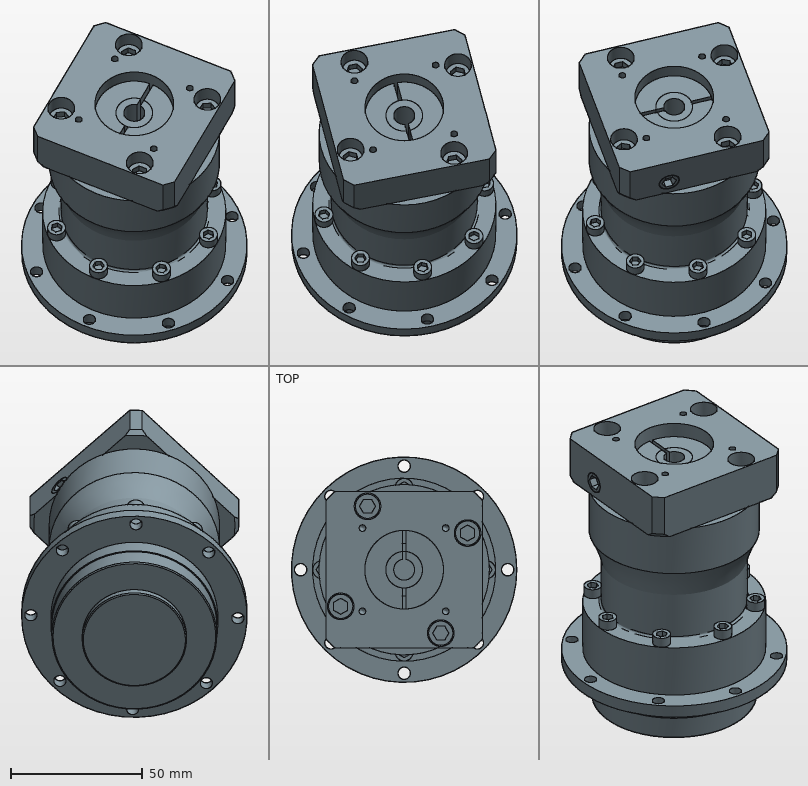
import cadquery as cq
import math

OVERALL_HEIGHT = 115.5
PILOT_BOTTOM_Z = 3.2
PILOT_STEP_Z = 12.4
FLANGE_BOTTOM_Z = 19.6
FLANGE_TOP_Z = 24.6
RING_GEAR_TOP_Z = 45.6
FLARE_BOTTOM_Z = 64.9
FLARE_TOP_Z = 77.3
HOUSING_TOP_Z = 97.3

OUTPUT_DIAMETER = 39.8
PILOT_DIAMETER = 63.0
PILOT_SHOULDER_DIAMETER = 63.8
FLANGE_DIAMETER = 86.0
RING_GEAR_DIAMETER = 69.9
NECK_DIAMETER = 55.8
INPUT_DIAMETER = 65.0
FLARE_ARC_RADIUS = 46.2
NECK_FOOT_FILLET = 0.8
EDGE_CHAMFER = 0.5

FASTENER_COUNT = 8
FLANGE_HOLE_DIAMETER = 4.6
FLANGE_HOLE_CIRCLE_RADIUS = 39.5
CAP_SCREW_DIAMETER = 6.8
CAP_SCREW_HEIGHT = 3.9
CAP_SCREW_CIRCLE_RADIUS = 31.4
CAP_SCREW_SOCKET_WIDTH = 3.7
CAP_SCREW_SOCKET_DEPTH = 2.3

PLATE_WIDTH = 59.7
PLATE_CORNER_CHAMFER = 3.3
PLATE_BORE_DIAMETER = 30.0
CORNER_CONE_HEIGHT = 2.0
CORNER_CONE_BOTTOM_RADIUS = 38.3
CORNER_CONE_TOP_RADIUS = math.hypot(PLATE_WIDTH / 2, PLATE_WIDTH / 2 - PLATE_CORNER_CHAMFER)
PLATE_HEIGHT = OVERALL_HEIGHT - HOUSING_TOP_Z

MOUNT_SCREW_COUNT = 4
MOUNT_SCREW_CIRCLE_RADIUS = 28.0
MOUNT_SCREW_START_ANGLE = 30.0
MOUNT_HOLE_DIAMETER = 10.2
MOUNT_HEAD_DIAMETER = 9.2
MOUNT_HEAD_TOP_DEPTH = 6.2
MOUNT_HEAD_HEIGHT = 6.0
MOUNT_SOCKET_WIDTH = 5.3
MOUNT_SOCKET_DEPTH = 3.0

MOTOR_HOLE_SPACING = 31.8
MOTOR_HOLE_DIAMETER = 2.5
MOTOR_HOLE_DEPTH = 9.2
DRILL_POINT_ANGLE = 118.0
DRILL_POINT_HEIGHT = MOTOR_HOLE_DIAMETER / 2 / math.tan(math.radians(DRILL_POINT_ANGLE / 2))

PLUG_Y = 11.0
PLUG_Z = 103.5
PLUG_DIAMETER = 7.6
PLUG_HOLE_DIAMETER = 8.1
PLUG_LENGTH = 4.6
PLUG_SOCKET_WIDTH = 5.0
PLUG_SOCKET_DEPTH = 3.0

HUB_TOP_Z = 109.6
HUB_STEM_DIAMETER = 20.0
HUB_STEM_BOTTOM_Z = 83.2
HUB_SLIT_BOTTOM_Z = 90.1
HUB_SOCKET_BOTTOM_Z = 86.6
SLIT_WIDTH = 1.4
BUSHING_DIAMETER = 14.0
BUSHING_BORE_DIAMETER = 8.0


def cylinder(diameter, bottom_z, top_z):
    """Solid cylinder on the gearbox axis."""
    return cq.Workplane("XY", origin=(0, 0, bottom_z)).circle(diameter / 2).extrude(top_z - bottom_z)


def hex_prism(workplane, width, depth):
    """Hexagonal prism of the given width across flats."""
    return workplane.polygon(6, width / math.cos(math.pi / 6)).extrude(depth)


def polar_points(radius, count, start_angle=0.0):
    """Points evenly spaced on a circle, each paired with its angle in degrees."""
    angles = [start_angle + i * 360 / count for i in range(count)]
    return [(radius * math.cos(math.radians(a)), radius * math.sin(math.radians(a)), a) for a in angles]


def housing_outline():
    """Half section of the gearbox, to be turned about the Z axis."""
    neck_radius = NECK_DIAMETER / 2
    return (
        cq.Workplane("XZ")
        .moveTo(0, 0)
        .lineTo(OUTPUT_DIAMETER / 2 - EDGE_CHAMFER, 0)
        .lineTo(OUTPUT_DIAMETER / 2, EDGE_CHAMFER)
        .lineTo(OUTPUT_DIAMETER / 2, PILOT_BOTTOM_Z)
        .lineTo(PILOT_DIAMETER / 2 - EDGE_CHAMFER, PILOT_BOTTOM_Z)
        .lineTo(PILOT_DIAMETER / 2, PILOT_BOTTOM_Z + EDGE_CHAMFER)
        .lineTo(PILOT_DIAMETER / 2, PILOT_STEP_Z)
        .lineTo(PILOT_SHOULDER_DIAMETER / 2, PILOT_STEP_Z)
        .lineTo(PILOT_SHOULDER_DIAMETER / 2, FLANGE_BOTTOM_Z)
        .lineTo(FLANGE_DIAMETER / 2, FLANGE_BOTTOM_Z)
        .lineTo(FLANGE_DIAMETER / 2, FLANGE_TOP_Z)
        .lineTo(RING_GEAR_DIAMETER / 2, FLANGE_TOP_Z)
        .lineTo(RING_GEAR_DIAMETER / 2, RING_GEAR_TOP_Z)
        .lineTo(neck_radius + NECK_FOOT_FILLET, RING_GEAR_TOP_Z)
        .radiusArc((neck_radius, RING_GEAR_TOP_Z + NECK_FOOT_FILLET), NECK_FOOT_FILLET)
        .lineTo(neck_radius, FLARE_BOTTOM_Z)
        .radiusArc((INPUT_DIAMETER / 2, FLARE_TOP_Z), FLARE_ARC_RADIUS)
        .lineTo(INPUT_DIAMETER / 2, HOUSING_TOP_Z)
        .lineTo(0, HOUSING_TOP_Z)
        .close()
    )


def cap_screw(x, y, angle):
    """Socket-head screw standing on the ring gear, its socket turned with its angle."""
    head_top_z = RING_GEAR_TOP_Z + CAP_SCREW_HEIGHT
    head = (
        cq.Workplane("XY", origin=(x, y, RING_GEAR_TOP_Z))
        .circle(CAP_SCREW_DIAMETER / 2)
        .extrude(CAP_SCREW_HEIGHT)
    )
    top_plane = cq.Workplane("XY", origin=(x, y, head_top_z)).transformed(rotate=(0, 0, angle))
    return head.cut(hex_prism(top_plane, CAP_SCREW_SOCKET_WIDTH, -CAP_SCREW_SOCKET_DEPTH))


def make_gearbox():
    """Turned housing with its flange holes, cap screws and recess for the hub stem."""
    gearbox = housing_outline().revolve(360, (0, 0), (0, 1))
    gearbox = gearbox.cut(cylinder(HUB_STEM_DIAMETER, HUB_STEM_BOTTOM_Z, HOUSING_TOP_Z))
    for x, y, _ in polar_points(FLANGE_HOLE_CIRCLE_RADIUS, FASTENER_COUNT):
        hole = (
            cq.Workplane("XY", origin=(x, y, FLANGE_BOTTOM_Z))
            .circle(FLANGE_HOLE_DIAMETER / 2)
            .extrude(FLANGE_TOP_Z - FLANGE_BOTTOM_Z)
        )
        gearbox = gearbox.cut(hole)
    for x, y, angle in polar_points(CAP_SCREW_CIRCLE_RADIUS, FASTENER_COUNT):
        gearbox = gearbox.union(cap_screw(x, y, angle))
    return gearbox


def plate_blank():
    """Square plate with chamfered corners, coned away at the foot of each corner."""
    block = (
        cq.Workplane("XY", origin=(0, 0, HOUSING_TOP_Z))
        .rect(PLATE_WIDTH, PLATE_WIDTH)
        .extrude(PLATE_HEIGHT)
        .edges("|Z")
        .chamfer(PLATE_CORNER_CHAMFER)
    )
    envelope = (
        cq.Workplane("XZ")
        .moveTo(0, HOUSING_TOP_Z)
        .lineTo(CORNER_CONE_BOTTOM_RADIUS, HOUSING_TOP_Z)
        .lineTo(CORNER_CONE_TOP_RADIUS, HOUSING_TOP_Z + CORNER_CONE_HEIGHT)
        .lineTo(PLATE_WIDTH, HOUSING_TOP_Z + CORNER_CONE_HEIGHT)
        .lineTo(PLATE_WIDTH, OVERALL_HEIGHT)
        .lineTo(0, OVERALL_HEIGHT)
        .close()
        .revolve(360, (0, 0), (0, 1))
    )
    return block.intersect(envelope)


def mount_screw_cut(x, y, angle):
    """Counterbore around a sunken screw head, with the head's hexagonal socket."""
    head_top_z = OVERALL_HEIGHT - MOUNT_HEAD_TOP_DEPTH
    counterbore_depth = MOUNT_HEAD_TOP_DEPTH + MOUNT_HEAD_HEIGHT
    counterbore = (
        cq.Workplane("XY", origin=(x, y, OVERALL_HEIGHT))
        .circle(MOUNT_HOLE_DIAMETER / 2)
        .extrude(-counterbore_depth)
    )
    head_plane = cq.Workplane("XY", origin=(x, y, head_top_z))
    head = head_plane.circle(MOUNT_HEAD_DIAMETER / 2).extrude(-MOUNT_HEAD_HEIGHT)
    socket_plane = head_plane.transformed(rotate=(0, 0, angle))
    return counterbore.cut(head).union(hex_prism(socket_plane, MOUNT_SOCKET_WIDTH, -MOUNT_SOCKET_DEPTH))


def motor_hole_cut(x, y):
    """Blind drilled hole with a conical end."""
    radius = MOTOR_HOLE_DIAMETER / 2
    return (
        cq.Workplane("XZ", origin=(x, y, OVERALL_HEIGHT))
        .moveTo(0, 0)
        .lineTo(radius, 0)
        .lineTo(radius, -MOTOR_HOLE_DEPTH)
        .lineTo(0, -MOTOR_HOLE_DEPTH - DRILL_POINT_HEIGHT)
        .close()
        .revolve(360, (0, 0), (0, 1))
    )


def plug_cut():
    """Narrow gap around the flush plug in the -X side, with the plug's hexagonal socket."""
    side_plane = cq.Workplane("YZ", origin=(-PLATE_WIDTH / 2, PLUG_Y, PLUG_Z))
    gap = side_plane.circle(PLUG_HOLE_DIAMETER / 2).circle(PLUG_DIAMETER / 2).extrude(PLUG_LENGTH)
    return gap.union(hex_prism(side_plane, PLUG_SOCKET_WIDTH, PLUG_SOCKET_DEPTH))


def make_adapter():
    """Motor adapter plate with its bore, sunken screws, motor holes and side plug."""
    adapter = plate_blank().cut(cylinder(PLATE_BORE_DIAMETER, HOUSING_TOP_Z, OVERALL_HEIGHT))
    for x, y, angle in polar_points(MOUNT_SCREW_CIRCLE_RADIUS, MOUNT_SCREW_COUNT, MOUNT_SCREW_START_ANGLE):
        adapter = adapter.cut(mount_screw_cut(x, y, angle))
    for x_side in (-1, 1):
        for y_side in (-1, 1):
            hole = motor_hole_cut(x_side * MOTOR_HOLE_SPACING / 2, y_side * MOTOR_HOLE_SPACING / 2)
            adapter = adapter.cut(hole)
    return adapter.cut(plug_cut())


def make_hub():
    """Clamp hub: slit collar in the plate bore, on a stem that enters the housing."""
    collar = cylinder(PLATE_BORE_DIAMETER, HOUSING_TOP_Z, HUB_TOP_Z)
    stem = cylinder(HUB_STEM_DIAMETER, HUB_STEM_BOTTOM_Z, HOUSING_TOP_Z)
    socket = cylinder(BUSHING_DIAMETER, HUB_SOCKET_BOTTOM_Z, HUB_TOP_Z)
    slit = (
        cq.Workplane("XY", origin=(0, 0, HUB_SLIT_BOTTOM_Z))
        .rect(SLIT_WIDTH, PLATE_BORE_DIAMETER)
        .extrude(HUB_TOP_Z - HUB_SLIT_BOTTOM_Z)
    )
    return collar.union(stem).cut(socket).cut(slit)


def make_bushing():
    """Sleeve in the hub, split along its +Y side."""
    sleeve = cylinder(BUSHING_DIAMETER, HUB_SOCKET_BOTTOM_Z, HUB_TOP_Z)
    bore = cylinder(BUSHING_BORE_DIAMETER, HUB_SOCKET_BOTTOM_Z, HUB_TOP_Z)
    slit = (
        cq.Workplane("XY", origin=(0, BUSHING_DIAMETER / 2, HUB_SOCKET_BOTTOM_Z))
        .rect(SLIT_WIDTH, BUSHING_DIAMETER)
        .extrude(HUB_TOP_Z - HUB_SOCKET_BOTTOM_Z)
    )
    return sleeve.cut(bore).cut(slit)


gearbox = make_gearbox()
adapter = make_adapter()
hub = make_hub()
bushing = make_bushing()

result = cq.Compound.makeCompound([gearbox.val(), adapter.val(), hub.val(), bushing.val()])